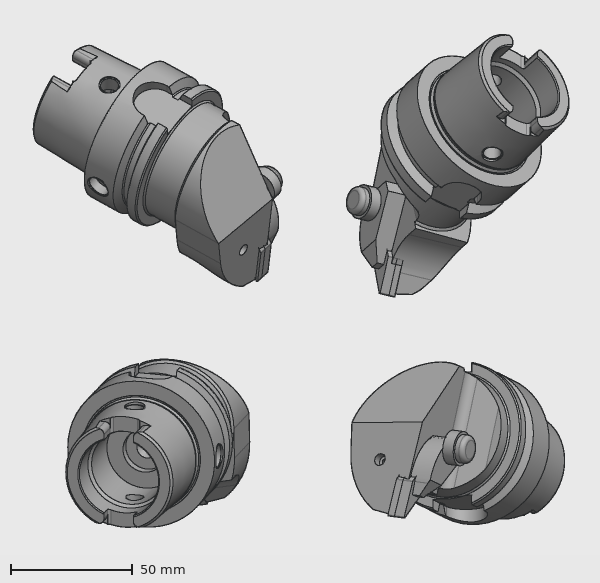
import cadquery as cq
import math

REACH = 200.0

SHANK_END_X = -32.0
SHANK_END_RADIUS = 22.0
SHANK_CHAMFER = 1.0
RELIEF_START_X = -2.3
RELIEF_END_X = -1.6
TAPER_LARGE_RADIUS = 24.2
RELIEF_RADIUS = 23.9
RELIEF_RISE_X = -0.9
FACE_UNDERCUT_DEPTH = 0.3
FACE_UNDERCUT_RADII = (24.6, 25.3)

BORE_RADIUS = 17.0
BORE_CHAMFER = 0.5
BORE_CONE_START_X = -19.4
BORE_CONE_END_X = -17.8
INNER_BORE_RADIUS = 15.9
BORE_FLOOR_X = 4.0
RECESS_RADIUS = 9.0
RECESS_FLOOR_X = 8.0
CONE_RADIUS = 4.2
CONE_TIP_X = 12.0

DRIVE_SLOT_WIDTH = 12.6
DRIVE_SLOT_CORNER = 1.2
TOP_SLOT_FLOOR_X = -22.1
BOTTOM_SLOT_FLOOR_X = -26.0
SLOT_EDGE_ROUNDING = 2.4
SLOT_ROLL_START_Z = 18.2
SLOT_ROLL_REACH_Y = 12.0

CROSS_HOLE_X = -9.1
CROSS_HOLE_DIAMETER = 7.4
CROSS_HOLE_MOUTH_DIAMETER = 8.6

FLANGE_RADIUS = 31.5
FLANGE_END_X = 26.0
FLANGE_EDGE_CHAMFER = 0.6
GROOVE_START_X = 14.4
GROOVE_SLOPE_END_X = 16.2
GROOVE_SLOPE_END_RADIUS = 27.6
GROOVE_FLOOR_START_X = 16.9
GROOVE_FLOOR_END_X = 19.5
GROOVE_END_X = 21.3
GROOVE_FLOOR_RADIUS = 27.3
KEYWAY_WIDTH = 17.8
KEYWAY_START_X = 4.6
KEYWAY_FLOOR_Z = 26.1
CHIP_HOLE_X = 6.8
CHIP_HOLE_DIAMETER = 9.4
CHIP_HOLE_CHAMFER = 0.4
CHIP_HOLE_DEPTH = 5.0

NECK_RADIUS = 26.0
NECK_ROOT_CHAMFER = 0.7
NECK_END_X = 41.4
HEAD_START_X = 42.4
HEAD_RADIUS = 27.0
HEAD_BLOCK_END_X = 75.0
HEAD_BLOCK_BOTTOM_Z = -50.0
SIDE_FLAT_BOTTOM_Z = -13.0
SIDE_ARC_RADIUS = 35.0
SIDE_ARC_SWEEP = 58.0
TOP_SLOPE_START_X = 43.6
TOP_SLOPE_ANGLE = 53.1
BACK_START_X = 42.3
BACK_LEAN_ANGLE = 3.6
BACK_SKEW_ANGLE = 3.0
OUTLET_Y = -12.8
OUTLET_Z = -18.0
OUTLET_DIAMETER = 5.0
OUTLET_DEPTH = 8.0
CHANNEL_START = (9.0, -1.6, -1.9)
CHANNEL_DIAMETER = 2.5

TIP_X = 69.9
TIP_Z = -45.0
RAKE_ANGLE = 13.3
INSERT_EDGE = 16.6
INSERT_POINT_ANGLE = 35.0
LEAD_ANGLE = 3.0
NOSE_RADIUS = 0.4
INSERT_THICKNESS = 4.6
SHIM_THICKNESS = 3.1
END_FACE_CLEARANCE = 5.8
END_FACE_SETBACK = 0.25
UNDERCUT_SETBACK = 0.2
UNDERCUT_ROOF_V = 15.8
UNDERCUT_RADIUS = 20.0

PLATFORM_DEPTH = 2.35
PLATFORM_WALL_X = 33.0
PLATFORM_CORNER_X = 37.2
PLATFORM_WALL_HEIGHT = 14.5
PLATFORM_FILLET = 5.0

CLAMP_HEIGHT = 7.0
CLAMP_BACK_X = 44.0
CLAMP_BACK_V = 37.8
CLAMP_HEEL_V = 33.0
CLAMP_SHOULDER_X = 56.0
CLAMP_SIDE_X = 67.4
CLAMP_SIDE_V = 16.0
CLAMP_BULGE = (63.2, 31.3)
CLAMP_NOSE_V = 10.5
CLAMP_NOSE_X = (63.5, 67.0)
NOSE_FACE_HEIGHT = 3.4
NOSE_SLOPE_LENGTH = 7.0
SCREW_X = 55.9
SCREW_V = 34.0
COLLAR_RADIUS = 7.1
COLLAR_TOP = 12.0
SCREW_HEAD_RADIUS = 5.9
SCREW_HEAD_TOP = 16.0
SCREW_HEAD_ROUNDING = 2.0
SCREW_SHAFT_RADIUS = 3.0
SCREW_END_DEPTH = 12.0

rake = math.radians(RAKE_ANGLE)
cutting_frame = cq.Plane(
    origin=(0, 0, TIP_Z),
    xDir=(1, 0, 0),
    normal=(0, -math.cos(rake), math.sin(rake)),
)


def at_depth(depth):
    """Sketching plane parallel to the rake face at a depth below it."""
    return cq.Workplane(cutting_frame).workplane(offset=depth)


def half_space(point, normal):
    """Large block that fills the side of a plane to which the normal points."""
    return cq.Workplane(cq.Plane(origin=point, normal=normal)).rect(2 * REACH, 2 * REACH).extrude(REACH)


lead = math.radians(LEAD_ANGLE)
lower_edge = math.radians(LEAD_ANGLE + INSERT_POINT_ANGLE)
half_point = math.radians(INSERT_POINT_ANGLE / 2)
bisector = lead + half_point
nose_center_distance = NOSE_RADIUS / math.sin(half_point)

sharp_x = TIP_X - NOSE_RADIUS + nose_center_distance * math.sin(bisector)
sharp_v = NOSE_RADIUS - nose_center_distance * math.cos(bisector)


def rhombic_plate(depth, thickness):
    """Rhombic plate with rounded acute corners, from a depth below the rake face."""
    main_run = (-INSERT_EDGE * math.sin(lead), INSERT_EDGE * math.cos(lead))
    lower_run = (-INSERT_EDGE * math.sin(lower_edge), INSERT_EDGE * math.cos(lower_edge))
    return (
        at_depth(depth)
        .moveTo(sharp_x, sharp_v)
        .line(*main_run)
        .line(*lower_run)
        .line(-main_run[0], -main_run[1])
        .close()
        .extrude(thickness)
        .edges(cq.selectors.ParallelDirSelector(cutting_frame.zDir))
        .fillet(NOSE_RADIUS)
    )


def screw_cylinder(radius, top, bottom):
    """Cylinder on the clamp screw's axis between two depths below the rake face."""
    return at_depth(top).center(SCREW_X, SCREW_V).circle(radius).extrude(bottom - top)


def turned_body():
    """Shank, flange and neck, revolved about X."""
    profile = [
        (SHANK_END_X, 0),
        (SHANK_END_X, SHANK_END_RADIUS),
        (SHANK_END_X + SHANK_CHAMFER, SHANK_END_RADIUS + SHANK_CHAMFER),
        (RELIEF_START_X, TAPER_LARGE_RADIUS),
        (RELIEF_END_X, RELIEF_RADIUS),
        (RELIEF_RISE_X, RELIEF_RADIUS),
        (FACE_UNDERCUT_DEPTH, FACE_UNDERCUT_RADII[0]),
        (FACE_UNDERCUT_DEPTH, FACE_UNDERCUT_RADII[1]),
        (0, FACE_UNDERCUT_RADII[1]),
        (0, FLANGE_RADIUS),
        (GROOVE_START_X, FLANGE_RADIUS),
        (GROOVE_SLOPE_END_X, GROOVE_SLOPE_END_RADIUS),
        (GROOVE_FLOOR_START_X, GROOVE_FLOOR_RADIUS),
        (GROOVE_FLOOR_END_X, GROOVE_FLOOR_RADIUS),
        (GROOVE_END_X, FLANGE_RADIUS),
        (FLANGE_END_X - FLANGE_EDGE_CHAMFER, FLANGE_RADIUS),
        (FLANGE_END_X, FLANGE_RADIUS - FLANGE_EDGE_CHAMFER),
        (FLANGE_END_X, NECK_RADIUS + NECK_ROOT_CHAMFER),
        (FLANGE_END_X + NECK_ROOT_CHAMFER, NECK_RADIUS),
        (NECK_END_X, NECK_RADIUS),
        (HEAD_START_X, HEAD_RADIUS),
        (HEAD_START_X, 0),
    ]
    return cq.Workplane("XY").polyline(profile).close().revolve(360, (0, 0), (1, 0))


def shank_bore():
    """Stepped bore with a conical centre, revolved about X."""
    profile = [
        (SHANK_END_X, 0),
        (SHANK_END_X, BORE_RADIUS + BORE_CHAMFER),
        (SHANK_END_X + BORE_CHAMFER, BORE_RADIUS),
        (BORE_CONE_START_X, BORE_RADIUS),
        (BORE_CONE_END_X, INNER_BORE_RADIUS),
        (BORE_FLOOR_X, INNER_BORE_RADIUS),
        (BORE_FLOOR_X, RECESS_RADIUS),
        (RECESS_FLOOR_X, RECESS_RADIUS),
        (RECESS_FLOOR_X, CONE_RADIUS),
        (CONE_TIP_X, 0),
    ]
    return cq.Workplane("XY").polyline(profile).close().revolve(360, (0, 0), (1, 0))


def drive_slot(floor_x, side):
    """Slot in the shank end on the +Z (side = 1) or -Z (side = -1) wall, with rolled edges."""
    length = floor_x - SHANK_END_X
    slot = (
        cq.Workplane("XY")
        .center(SHANK_END_X, 0)
        .rect(2 * length, DRIVE_SLOT_WIDTH)
        .extrude(side * FLANGE_RADIUS)
        .edges("|Z and >X")
        .fillet(DRIVE_SLOT_CORNER)
    )
    edge_y = DRIVE_SLOT_WIDTH / 2
    roll_end_y = edge_y + SLOT_EDGE_ROUNDING
    roll_end_z = SLOT_ROLL_START_Z + SLOT_EDGE_ROUNDING
    for hand in (1, -1):
        flare = (
            cq.Workplane("YZ", origin=(SHANK_END_X, 0, 0))
            .moveTo(hand * edge_y, side * SLOT_ROLL_START_Z)
            .radiusArc((hand * roll_end_y, side * roll_end_z), hand * side * SLOT_EDGE_ROUNDING)
            .lineTo(hand * SLOT_ROLL_REACH_Y, side * roll_end_z)
            .lineTo(hand * SLOT_ROLL_REACH_Y, side * FLANGE_RADIUS)
            .lineTo(hand * edge_y, side * FLANGE_RADIUS)
            .close()
            .extrude(length - DRIVE_SLOT_CORNER / 2)
        )
        slot = slot.union(flare)
    return slot


def cross_hole():
    """Hole along Z through both shank walls, with chamfered mouths."""
    axis = cq.Workplane("XY").center(CROSS_HOLE_X, 0)
    hole = axis.circle(CROSS_HOLE_DIAMETER / 2).extrude(REACH, both=True)
    mouth_depth = (CROSS_HOLE_MOUTH_DIAMETER - CROSS_HOLE_DIAMETER) / 2
    for side in (1, -1):
        mouth = (
            cq.Workplane("XY", origin=(CROSS_HOLE_X, 0, side * TAPER_LARGE_RADIUS))
            .circle(CROSS_HOLE_MOUTH_DIAMETER / 2)
            .extrude(-side * 2 * mouth_depth)
        )
        hole = hole.union(mouth)
    return hole


def keyway(side):
    """Round-ended keyway across the flange on the +Z (side = 1) or -Z (side = -1) side."""
    radius = KEYWAY_WIDTH / 2
    center_x = KEYWAY_START_X + radius
    return (
        cq.Workplane("XY", origin=(0, 0, side * KEYWAY_FLOOR_Z))
        .moveTo(FLANGE_END_X, radius)
        .lineTo(center_x, radius)
        .threePointArc((KEYWAY_START_X, 0), (center_x, -radius))
        .lineTo(FLANGE_END_X, -radius)
        .close()
        .extrude(side * FLANGE_RADIUS)
    )


def chip_hole():
    """Shallow blind hole in the -Y side of the flange."""
    mouth = cq.Workplane("XZ", origin=(CHIP_HOLE_X, -FLANGE_RADIUS, 0))
    hole = mouth.circle(CHIP_HOLE_DIAMETER / 2).extrude(-CHIP_HOLE_DEPTH)
    wide = mouth.circle(CHIP_HOLE_DIAMETER / 2 + CHIP_HOLE_CHAMFER).extrude(-2 * CHIP_HOLE_CHAMFER)
    return hole.union(wide)


def head_block():
    """Uncut head: round on top, flat on the -Y side and curving in below."""
    sweep = math.radians(SIDE_ARC_SWEEP)
    center_y = SIDE_ARC_RADIUS - HEAD_RADIUS

    def side_point(angle):
        return (
            center_y - SIDE_ARC_RADIUS * math.cos(angle),
            SIDE_FLAT_BOTTOM_Z - SIDE_ARC_RADIUS * math.sin(angle),
        )

    return (
        cq.Workplane("YZ", origin=(HEAD_START_X, 0, 0))
        .moveTo(HEAD_RADIUS, 0)
        .threePointArc((0, HEAD_RADIUS), (-HEAD_RADIUS, 0))
        .lineTo(-HEAD_RADIUS, SIDE_FLAT_BOTTOM_Z)
        .threePointArc(side_point(sweep / 2), side_point(sweep))
        .lineTo(side_point(sweep)[0], HEAD_BLOCK_BOTTOM_Z)
        .lineTo(HEAD_RADIUS, HEAD_BLOCK_BOTTOM_Z)
        .close()
        .extrude(HEAD_BLOCK_END_X - HEAD_START_X)
    )


def top_slope():
    """Space above the sloping flat of the head."""
    slope = math.radians(TOP_SLOPE_ANGLE)
    return half_space((TOP_SLOPE_START_X, 0, HEAD_RADIUS), (math.sin(slope), 0, math.cos(slope)))


def end_face():
    """Space beyond the end face, which clears the main cutting edge."""
    normal = cq.Vector(1, math.tan(lead), math.tan(math.radians(END_FACE_CLEARANCE)))
    point = cutting_frame.toWorldCoords((TIP_X - END_FACE_SETBACK, 0, 0))
    origin = cutting_frame.toWorldCoords((0, 0, 0))
    return half_space(point, cutting_frame.toWorldCoords(normal.toTuple()) - origin)


def back_face():
    """Space behind the leaning lower back face of the head."""
    normal = (-1, -math.tan(math.radians(BACK_SKEW_ANGLE)), -math.tan(math.radians(BACK_LEAN_ANGLE)))
    below = cq.Workplane("XY").rect(2 * REACH, 2 * REACH).extrude(-REACH)
    return half_space((BACK_START_X, -HEAD_RADIUS, 0), normal).intersect(below)


def undercut():
    """Space under the head: a roof that rounds down into the flank below the insert."""
    setback_x = UNDERCUT_SETBACK / math.cos(lower_edge)

    def flank_x(v):
        return sharp_x + setback_x - (v - sharp_v) * math.tan(lower_edge)

    corner_x = flank_x(UNDERCUT_ROOF_V)
    turn = math.pi / 2 - lower_edge
    tangent_length = UNDERCUT_RADIUS * math.tan(turn / 2)
    arc_start = (corner_x - tangent_length, UNDERCUT_ROOF_V)
    arc_end_v = UNDERCUT_ROOF_V - tangent_length * math.cos(lower_edge)
    return (
        at_depth(-REACH / 2)
        .moveTo(0, UNDERCUT_ROOF_V)
        .lineTo(*arc_start)
        .radiusArc((flank_x(arc_end_v), arc_end_v), UNDERCUT_RADIUS)
        .lineTo(flank_x(-REACH / 2), -REACH / 2)
        .lineTo(0, -REACH / 2)
        .close()
        .extrude(REACH)
    )


def platform_cut():
    """Space above the clamp platform, running out through a rounded wall in the neck."""
    side_plane = cq.Plane(cutting_frame.origin, xDir=(1, 0, 0), normal=cutting_frame.yDir)
    run = PLATFORM_CORNER_X - PLATFORM_WALL_X
    wall_length = math.hypot(run, PLATFORM_WALL_HEIGHT)
    turn = math.atan2(PLATFORM_WALL_HEIGHT, run)
    tangent_length = PLATFORM_FILLET * math.tan(turn / 2)
    share = tangent_length / wall_length
    floor = -PLATFORM_DEPTH
    arc_start = (PLATFORM_CORNER_X - share * run, floor + share * PLATFORM_WALL_HEIGHT)
    return (
        cq.Workplane(side_plane)
        .moveTo(PLATFORM_WALL_X, floor + PLATFORM_WALL_HEIGHT)
        .lineTo(*arc_start)
        .radiusArc((PLATFORM_CORNER_X + tangent_length, floor), -PLATFORM_FILLET)
        .lineTo(REACH, floor)
        .lineTo(REACH, REACH)
        .lineTo(PLATFORM_WALL_X, REACH)
        .close()
        .extrude(REACH / 2, both=True)
    )


def outlet_hole():
    """Coolant outlet in the end face."""
    return (
        cq.Workplane("YZ", origin=(HEAD_BLOCK_END_X, OUTLET_Y, OUTLET_Z))
        .circle(OUTLET_DIAMETER / 2)
        .extrude(-OUTLET_DEPTH - (HEAD_BLOCK_END_X - TIP_X))
    )


def coolant_channel():
    """Slanting channel from the cone of the bore to the outlet hole."""
    start = cq.Vector(*CHANNEL_START)
    run = cq.Vector(TIP_X - OUTLET_DEPTH, OUTLET_Y, OUTLET_Z) - start
    return cq.Workplane(cq.Plane(origin=start, normal=run)).circle(CHANNEL_DIAMETER / 2).extrude(run.Length)


def make_insert():
    return rhombic_plate(0, INSERT_THICKNESS)


def make_shim():
    return rhombic_plate(INSERT_THICKNESS, SHIM_THICKNESS)


def make_holder():
    holder = turned_body().cut(shank_bore()).cut(cross_hole()).cut(chip_hole())
    holder = holder.cut(drive_slot(TOP_SLOT_FLOOR_X, 1)).cut(drive_slot(BOTTOM_SLOT_FLOOR_X, -1))
    for side in (1, -1):
        holder = holder.cut(keyway(side))
    head = head_block().cut(back_face()).cut(undercut()).cut(top_slope()).cut(end_face())
    holder = holder.union(head.cut(outlet_hole())).cut(platform_cut())
    holder = holder.cut(rhombic_plate(0, INSERT_THICKNESS + SHIM_THICKNESS))
    holder = holder.cut(coolant_channel())
    return holder.cut(screw_cylinder(SCREW_SHAFT_RADIUS, 0, SCREW_END_DEPTH))


def make_clamp():
    """Finger that stands on the platform and presses on the insert with its sloping nose."""
    finger = (
        at_depth(-CLAMP_HEIGHT)
        .moveTo(CLAMP_BACK_X, CLAMP_BACK_V)
        .lineTo(CLAMP_SHOULDER_X, CLAMP_BACK_V)
        .threePointArc(CLAMP_BULGE, (CLAMP_SIDE_X, CLAMP_SIDE_V))
        .lineTo(CLAMP_NOSE_X[1], CLAMP_NOSE_V)
        .lineTo(CLAMP_NOSE_X[0], CLAMP_NOSE_V)
        .lineTo(CLAMP_BACK_X, CLAMP_HEEL_V)
        .close()
        .extrude(CLAMP_HEIGHT + PLATFORM_DEPTH)
    )
    nose_point = cutting_frame.toWorldCoords((0, CLAMP_NOSE_V, -NOSE_FACE_HEIGHT))
    rise = CLAMP_HEIGHT - NOSE_FACE_HEIGHT
    slope_normal = cutting_frame.yDir * -rise + cutting_frame.zDir * -NOSE_SLOPE_LENGTH
    finger = finger.cut(half_space(nose_point, slope_normal))
    finger = finger.cut(make_insert())
    return finger.cut(screw_cylinder(SCREW_SHAFT_RADIUS, -CLAMP_HEIGHT, PLATFORM_DEPTH))


def make_collar():
    ring = screw_cylinder(COLLAR_RADIUS, -COLLAR_TOP, -CLAMP_HEIGHT)
    return ring.cut(screw_cylinder(SCREW_SHAFT_RADIUS, -COLLAR_TOP, -CLAMP_HEIGHT))


def make_screw():
    head = screw_cylinder(SCREW_HEAD_RADIUS, -SCREW_HEAD_TOP, -COLLAR_TOP)
    head = head.faces(cq.selectors.DirectionMinMaxSelector(cutting_frame.zDir, False)).edges()
    head = head.fillet(SCREW_HEAD_ROUNDING)
    return head.union(screw_cylinder(SCREW_SHAFT_RADIUS, -COLLAR_TOP, SCREW_END_DEPTH))


holder = make_holder()
shim = make_shim()
insert = make_insert()
clamp = make_clamp()
collar = make_collar()
screw = make_screw()

result = cq.Compound.makeCompound(
    [holder.val(), shim.val(), insert.val(), clamp.val(), collar.val(), screw.val()]
)